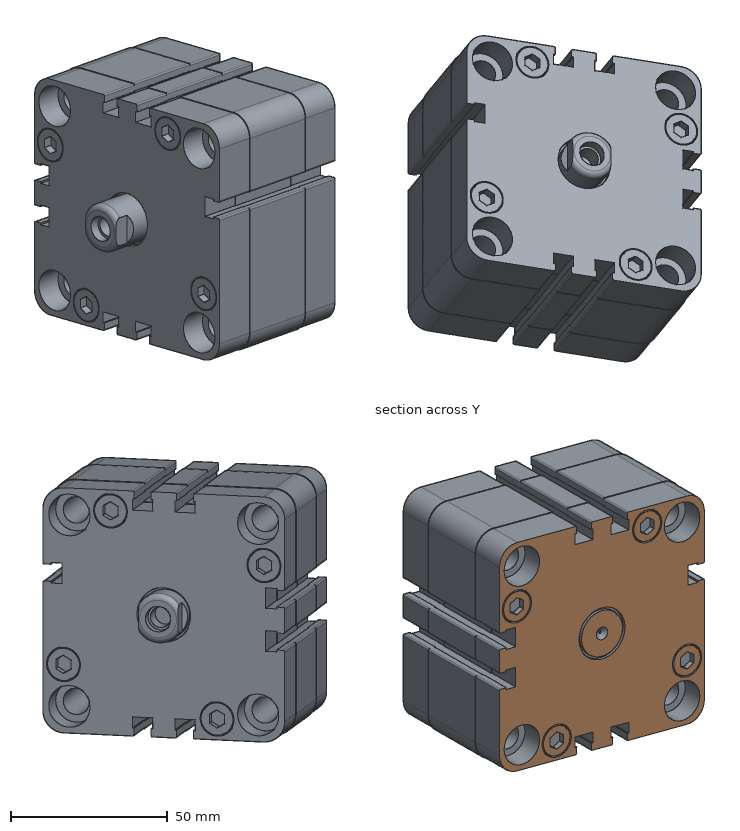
import cadquery as cq
import math


barrel_width = 80.0
barrel_length = 26.5
cap_width = 79.5
cap_length = 14.2
corner_radius = 7.2
face_y = barrel_length / 2 + cap_length

slot_depth = 6.2
slot_neck_depth = 2.6
slot_neck_width = 5.5
slot_pocket_width = 6.6
slot_lip_radius = 0.5
paired_slot_offset = 7.0
single_slot_offset = 12.0
slots = [(side * paired_slot_offset, turn) for turn in (0, 180, -90) for side in (-1, 1)]
slots.append((-single_slot_offset, 90))

mount_offset = 31.0
mount_diameter = 8.6
mount_bore_diameter = 13.5
mount_bore_depth = 9.0
mount_points = [
    (x, z)
    for x in (-mount_offset, mount_offset)
    for z in (-mount_offset, mount_offset)
]

screw_near = 17.5
screw_far = 33.0
screw_bore_diameter = 11.1
screw_head_diameter = 10.5
screw_gap_depth = 2.0
hex_sides = 6
hex_across_flats = 5.0
hex_depth = 3.0
screw_points = [
    (screw_near, screw_far),
    (screw_far, -screw_near),
    (-screw_near, -screw_far),
    (-screw_far, screw_near),
]

rod_diameter = 16.0
rod_front_reach = 12.6
rod_rear_reach = 7.5
rod_tip_radius = 1.9
rod_gap_diameter = 17.6
rod_gap_depth = 2.0
flat_across = 13.0
flat_length = 5.4
thread_diameter = 8.2
thread_depth = 3.4
drill_diameter = 6.6
drill_depth = 12.8
drill_point_angle = 118.0


def plane_at(y):
    """Workplane across the axis at y: local axes are X and Z, extrusion runs toward -Y."""
    return cq.Workplane("XZ", origin=(0, y, 0))


def slot_cutter(side_distance, offset, turn, y_rear, length):
    """T-slot with rounded lips, opening at side_distance from the axis."""
    floor = side_distance - slot_depth
    shoulder = side_distance - slot_neck_depth
    neck = slot_neck_width / 2
    pocket = slot_pocket_width / 2
    mouth = neck + slot_lip_radius
    lip_height = side_distance - slot_lip_radius
    lip_mid_rise = slot_lip_radius * math.sin(math.radians(45))
    lip_mid_x = mouth - lip_mid_rise
    lip_mid_z = lip_height + lip_mid_rise
    profile = (
        plane_at(y_rear)
        .moveTo(mouth, side_distance)
        .threePointArc((lip_mid_x, lip_mid_z), (neck, lip_height))
        .lineTo(neck, shoulder)
        .lineTo(pocket, shoulder)
        .lineTo(pocket, floor)
        .lineTo(-pocket, floor)
        .lineTo(-pocket, shoulder)
        .lineTo(-neck, shoulder)
        .lineTo(-neck, lip_height)
        .threePointArc((-lip_mid_x, lip_mid_z), (-mouth, side_distance))
        .close()
    )
    cutter = profile.extrude(length).translate((offset, 0, 0))
    return cutter.rotate((0, 0, 0), (0, 1, 0), turn)


def slotted_block(width, y_rear, length):
    """Square block with rounded corners and the T-slots along its sides."""
    radius = corner_radius - (barrel_width - width) / 2
    block = plane_at(y_rear).rect(width, width).extrude(length).edges("|Y").fillet(radius)
    for offset, turn in slots:
        block = block.cut(slot_cutter(width / 2, offset, turn, y_rear, length))
    return block


def drill(diameter, depth, points):
    """Round cutters going in from the front face."""
    return plane_at(-face_y).pushPoints(points).circle(diameter / 2).extrude(-depth)


def front_cap():
    """End cap with counterbored mounting holes, flush screws and a gap around the rod."""
    cap = slotted_block(cap_width, -barrel_length / 2, cap_length)

    cap = cap.cut(drill(mount_bore_diameter, mount_bore_depth, mount_points))

    screw_gap = (
        plane_at(-face_y)
        .pushPoints(screw_points)
        .circle(screw_bore_diameter / 2)
        .circle(screw_head_diameter / 2)
        .extrude(-screw_gap_depth)
    )
    cap = cap.cut(screw_gap)

    hex_half_angle = 180 / hex_sides
    hex_across_corners = hex_across_flats / math.cos(math.radians(hex_half_angle))
    for x, z in screw_points:
        socket = plane_at(-face_y).polygon(hex_sides, hex_across_corners).extrude(-hex_depth)
        socket = socket.rotate((0, 0, 0), (0, 1, 0), hex_half_angle).translate((x, 0, z))
        cap = cap.cut(socket)

    return cap.cut(drill(rod_gap_diameter, rod_gap_depth, [(0, 0)]))


def front_rod_end(reach):
    """Half of the rod, from the middle of the part to a tip beyond the front face."""
    tip_y = -(face_y + reach)
    rod = plane_at(0).circle(rod_diameter / 2).extrude(-tip_y)
    rod = rod.faces("<Y").edges().fillet(rod_tip_radius)

    flat_x = flat_across / 2
    clear_x = rod_diameter
    flat_end_y = tip_y + flat_length
    flat = (
        cq.Workplane("XY", origin=(0, 0, -rod_diameter / 2))
        .moveTo(flat_x, tip_y)
        .lineTo(flat_x, flat_end_y)
        .lineTo(clear_x, flat_end_y + clear_x - flat_x)
        .lineTo(clear_x, tip_y)
        .close()
        .extrude(rod_diameter)
    )
    rod = rod.cut(flat).cut(flat.mirror("YZ"))

    drill_radius = drill_diameter / 2
    point_length = drill_radius / math.tan(math.radians(drill_point_angle / 2))
    bore = (
        cq.Workplane("XY")
        .moveTo(0, tip_y)
        .lineTo(thread_diameter / 2, tip_y)
        .lineTo(thread_diameter / 2, tip_y + thread_depth)
        .lineTo(drill_radius, tip_y + thread_depth)
        .lineTo(drill_radius, tip_y + drill_depth)
        .lineTo(0, tip_y + drill_depth + point_length)
        .close()
        .revolve(360, (0, 0, 0), (0, 1, 0))
    )
    return rod.cut(bore)


cap = front_cap()
body = slotted_block(barrel_width, barrel_length / 2, barrel_length)
body = body.union(cap).union(cap.mirror("XZ"))
body = body.cut(drill(mount_diameter, 2 * face_y, mount_points))

rod = front_rod_end(rod_front_reach).union(front_rod_end(rod_rear_reach).mirror("XZ"))
result = body.union(rod)